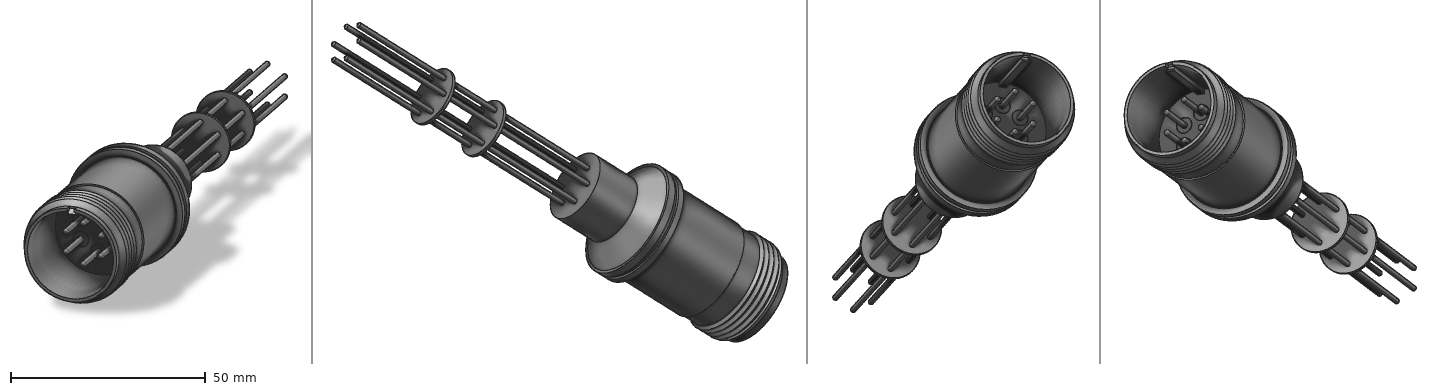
import cadquery as cq
import math

total_length = 142.1
flange_diameter = 31.7

lip_length = 1.8
mouth_bevel_end = 3.4
thread_pitch = 1.7
thread_count = 4
first_crest = 4.7
thread_runout = 0.7
neck_start = first_crest + (thread_count - 1) * thread_pitch + thread_runout
body_start = 16.3
ledge_start = 38.7
flange_start = 39.1
flange_groove_start = 40.8
flange_groove_end = 42.0
cone_start = 44.2
cone_end = 49.3
shell_end = 62.2

lip_radius = 12.6
mouth_bevel_radius = 14.0
thread_radius = 14.4
thread_root_radius = 13.5
neck_radius = 13.5
body_radius = 13.9
ledge_radius = 14.2
flange_radius = flange_diameter / 2
flange_groove_radius = 15.0
cone_radius = 15.0
tail_radius = 9.5

socket_radius = 11.8
socket_depth = 19.9
contact_count = 6
contact_circle_radius = 5.5
contact_recess_radius = 2.1
contact_recess_depth = 0.4
pin_radius = 0.78
pin_tip_setback = 8.8
pin_tip_fillet = 0.5

key_width = 2.0
key_tip_setback = 0.7
key_inner_radius = 10.5
key_tip_radius = 11.0
key_outer_radius = lip_radius

wire_radius = 0.7
wire_tip_chamfer = 0.4
spacer_radius = 8.0
spacer_thickness = 0.9
spacer_centers = (94.0, 111.5)


def rod(radius, start, end, x=0.0, z=0.0):
    """Cylinder along +Y between two Y positions."""
    axis_start = cq.Vector(x, start, z)
    return cq.Workplane(cq.Solid.makeCylinder(radius, end - start, axis_start, cq.Vector(0, 1, 0)))


def make_shell():
    """Revolved outer body with thread ridges, double flange and tapered tail."""
    outline = [(0, 0), (lip_radius, 0), (lip_radius, lip_length), (mouth_bevel_radius, mouth_bevel_end)]
    for turn in range(thread_count):
        crest = first_crest + turn * thread_pitch
        outline.append((thread_root_radius, crest - thread_pitch / 2))
        outline.append((thread_radius, crest))
    outline += [
        (neck_radius, neck_start),
        (neck_radius, body_start),
        (body_radius, body_start),
        (body_radius, ledge_start),
        (ledge_radius, ledge_start),
        (ledge_radius, flange_start),
        (flange_radius, flange_start),
        (flange_radius, flange_groove_start),
        (flange_groove_radius, flange_groove_start),
        (flange_groove_radius, flange_groove_end),
        (flange_radius, flange_groove_end),
        (flange_radius, cone_start),
        (cone_radius, cone_start),
        (tail_radius, cone_end),
        (tail_radius, shell_end),
        (0, shell_end),
    ]
    return cq.Workplane("XY").polyline(outline).close().revolve(360, (0, 0, 0), (0, 1, 0))


def key_block(side):
    """Block as wide as the key, from its (Y, Z) side outline."""
    return cq.Workplane("YZ").polyline(side).close().extrude(key_width / 2, both=True)


def make_key():
    """Rib along the top of the socket wall whose front end is a 45 degree wedge."""
    upper_bevel = key_outer_radius - key_tip_radius
    lower_bevel = key_tip_radius - key_inner_radius
    return key_block([
        (key_tip_setback, key_tip_radius),
        (key_tip_setback + upper_bevel, key_outer_radius),
        (socket_depth, key_outer_radius),
        (socket_depth, key_inner_radius),
        (key_tip_setback + lower_bevel, key_inner_radius),
    ])


def make_key_notch():
    """Opening through the lip above the sloped front of the key."""
    return key_block([
        (0, key_inner_radius),
        (0, flange_radius),
        (lip_length, flange_radius),
        (lip_length, key_inner_radius),
    ])


def contact_places():
    """X and Z of each contact, the first one straight up."""
    for index in range(contact_count):
        angle = math.pi / 2 + index * 2 * math.pi / contact_count
        yield contact_circle_radius * math.cos(angle), contact_circle_radius * math.sin(angle)


result = make_shell().cut(rod(socket_radius, 0, socket_depth))
result = result.cut(make_key_notch()).union(make_key())

recess_floor = socket_depth + contact_recess_depth
for x, z in contact_places():
    pin = rod(pin_radius, pin_tip_setback, recess_floor + pin_radius, x, z)
    pin = pin.faces("<Y").edges().fillet(pin_tip_fillet)
    wire = rod(wire_radius, shell_end - wire_radius, total_length, x, z)
    wire = wire.faces(">Y").chamfer(wire_tip_chamfer)
    result = result.cut(rod(contact_recess_radius, socket_depth, recess_floor, x, z))
    result = result.union(pin).union(wire)

for center in spacer_centers:
    half = spacer_thickness / 2
    result = result.union(rod(spacer_radius, center - half, center + half))